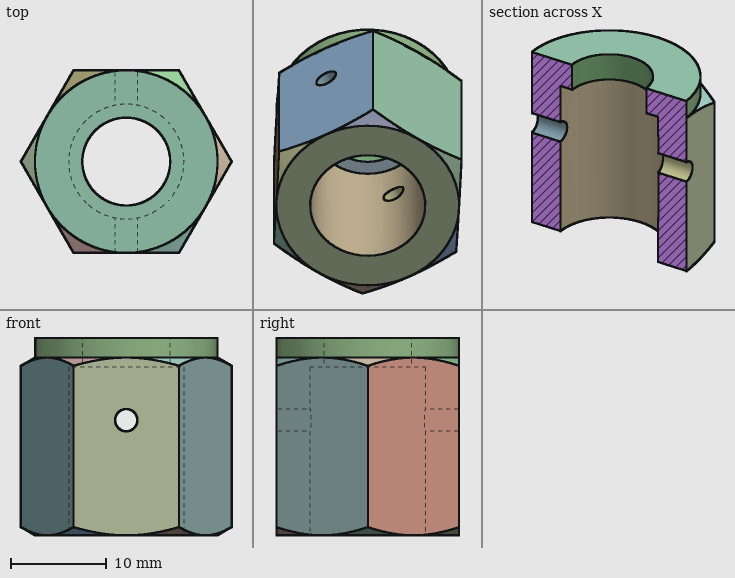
import cadquery as cq
import math

hex_sides = 6
across_flats = 19.05
across_corners = across_flats / math.cos(math.pi / hex_sides)
total_height = 20.58
collar_height = 2.06
body_height = total_height - collar_height

chamfer_angle = 30
corner_overhang = (across_corners - across_flats) / 2
chamfer_drop = corner_overhang * math.tan(math.radians(chamfer_angle))

throat_diameter = 9.14
throat_depth = 3.05
lower_bore_diameter = 12.0

cross_hole_diameter = 2.3
cross_hole_height = 12.0


def hex_body():
    """Hexagonal prism with corners on the X axis, chamfered at both ends."""
    prism = cq.Workplane("XY").polygon(hex_sides, across_corners).extrude(body_height)
    flat_radius = across_flats / 2
    corner_radius = across_corners / 2
    chamfer_envelope = (
        cq.Workplane("XZ")
        .moveTo(0, 0)
        .lineTo(flat_radius, 0)
        .lineTo(corner_radius, chamfer_drop)
        .lineTo(corner_radius, body_height - chamfer_drop)
        .lineTo(flat_radius, body_height)
        .lineTo(0, body_height)
        .close()
        .revolve(360, (0, 0, 0), (0, 1, 0))
    )
    return prism.intersect(chamfer_envelope)


def upright_cylinder(diameter, bottom, top):
    """Cylinder on the Z axis between two heights."""
    return cq.Workplane("XY").workplane(offset=bottom).circle(diameter / 2).extrude(top - bottom)


def axial_bore():
    """Throat through the full height, widened below the throat."""
    throat = upright_cylinder(throat_diameter, 0, total_height)
    lower_bore = upright_cylinder(lower_bore_diameter, 0, total_height - throat_depth)
    return throat.union(lower_bore)


def cross_hole():
    """Hole along Y that passes through both opposite flats."""
    return (
        cq.Workplane("XZ")
        .center(0, cross_hole_height)
        .circle(cross_hole_diameter / 2)
        .extrude(across_flats / 2, both=True)
    )


collar = upright_cylinder(across_flats, body_height, total_height)
result = hex_body().union(collar).cut(axial_bore()).cut(cross_hole())